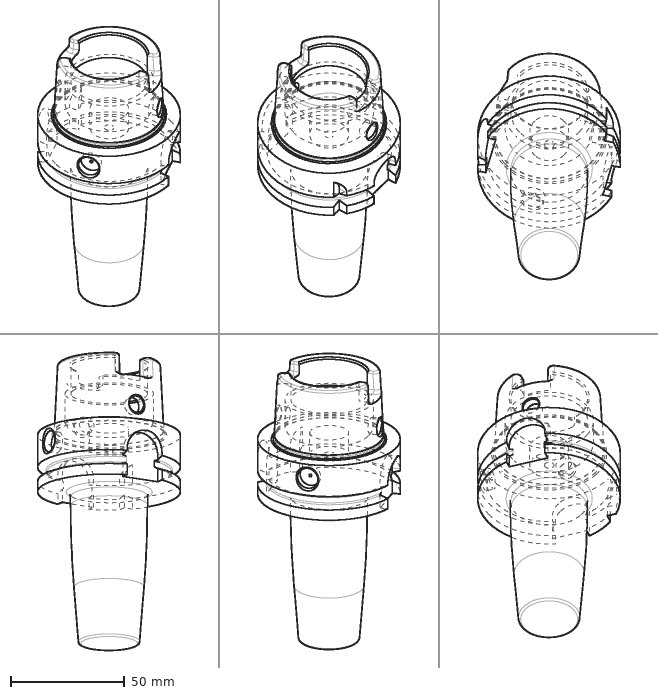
import cadquery as cq
import math

top_z = 31.9
flange_height = 26.0
bottom_z = -95.0

taper_gauge_radius = 24.0
taper_gauge_z = 6.3
taper_slope = 1 / (2 * 9.98)
taper_end_z = 2.0
relief_radius = 24.0
relief_outer_radius = 25.4
relief_fillet = 0.7
relief_floor_z = 0.4
rim_fillet = 1.0

flange_radius = 31.5
groove_center_z = -18.0
groove_radius = 27.5
groove_half_opening = 3.15
groove_half_width = 1.75
groove_fillet = 0.75

nose_radius = 17.0
nose_root_fillet = 2.0
nose_cylinder_end_z = -32.0
nose_cone_start_z = -69.3
nose_tip_radius = 13.5
nose_cone_angle = math.radians(4.5)
nose_tip_fillet = 1.0

bore_radius = 16.9
bore_chamfer = 0.8
undercut_radius = 19.5
undercut_top_z = 18.8
cavity_floor_z = 3.1
cavity_floor_fillet = 3.65
tube_seat_radius = 8.6
tube_seat_depth = 10.0
center_hole_radius = 2.1
center_hole_depth = 2.1

rim_slot_width = 12.5
rim_slot_depths = {-1: 5.8, 1: 10.0}
rim_slot_outer_fillet = 2.5
rim_slot_floor_fillet = 1.5
rim_slot_middle_x = (bore_radius + taper_gauge_radius) / 2

cross_hole_radius = 3.75
cross_hole_z = 8.9
cross_hole_chamfer = 0.7

keyway_width_minus_x = 16.0
keyway_width_plus_x = 18.0
keyway_floor_x = 26.5
keyway_top_z = -4.85
notch_floor_x = 20.15
notch_side_y = 20.05
chip_radius = 4.7
chip_depth = 4.6
chip_z = -7.0
chip_chamfer = 0.95
chip_center_radius = 0.6

match_tolerance = 0.01


def taper_radius(z):
    """Outside radius of the shank at height z."""
    return taper_gauge_radius - (z - taper_gauge_z) * taper_slope


def edges_where(body, condition):
    """Workplane holding the edges of a body whose centroid meets a condition."""
    chosen = [edge for edge in body.edges().vals() if condition(edge.Center())]
    return body.newObject(chosen)


def make_outer_body():
    """Revolved outside of the shank, flange and nose."""
    cone_start_radius = nose_tip_radius + (nose_cone_start_z - bottom_z) * math.tan(nose_cone_angle)
    body = (
        cq.Workplane("XZ")
        .moveTo(0, top_z)
        .lineTo(taper_radius(top_z), top_z)
        .lineTo(taper_radius(taper_end_z), taper_end_z)
        .lineTo(relief_radius, taper_end_z)
        .lineTo(relief_radius, relief_floor_z + relief_fillet)
        .radiusArc((relief_radius + relief_fillet, relief_floor_z), -relief_fillet)
        .lineTo(relief_outer_radius, 0)
        .lineTo(flange_radius, 0)
        .lineTo(flange_radius, groove_center_z + groove_half_opening)
        .lineTo(groove_radius, groove_center_z + groove_half_width)
        .lineTo(groove_radius, groove_center_z - groove_half_width)
        .lineTo(flange_radius, groove_center_z - groove_half_opening)
        .lineTo(flange_radius, -flange_height)
        .lineTo(nose_radius + nose_root_fillet, -flange_height)
        .radiusArc((nose_radius, -flange_height - nose_root_fillet), -nose_root_fillet)
        .lineTo(nose_radius, nose_cylinder_end_z)
        .tangentArcPoint((cone_start_radius, nose_cone_start_z), relative=False)
        .lineTo(nose_tip_radius, bottom_z)
        .lineTo(0, bottom_z)
        .close()
        .revolve(360, (0, 0), (0, 1))
        .rotate((0, 0, 0), (0, 0, 1), 180)
    )
    body = body.faces("<Z").edges().fillet(nose_tip_fillet)

    def is_groove_corner(point):
        return abs(abs(point.z - groove_center_z) - groove_half_width) < match_tolerance

    return edges_where(body, is_groove_corner).fillet(groove_fillet)


def cut_bore(body):
    """Straight cylindrical bore at the open end of the shank."""
    bore = cq.Workplane("XY", origin=(0, 0, undercut_top_z)).circle(bore_radius)
    return body.cut(bore.extrude(top_z - undercut_top_z))


def cut_rim_slots(body):
    """Two drive slots of different depth, with rounded outer corners and floor edges."""
    half_width = rim_slot_width / 2

    def on_wall(point, side):
        on_side = point.x * side > 0 and point.z > undercut_top_z
        return on_side and abs(abs(point.y) - half_width) < match_tolerance

    for side, depth in rim_slot_depths.items():
        floor_z = top_z - depth
        slot_box = cq.Workplane("XY").box(flange_radius, rim_slot_width, depth, centered=(True, True, False))
        body = body.cut(slot_box.translate((side * flange_radius / 2, 0, floor_z)))

        def is_outer_corner(point):
            is_upright = floor_z + match_tolerance < point.z < top_z - match_tolerance
            return on_wall(point, side) and is_upright and abs(point.x) > rim_slot_middle_x

        def is_floor_edge(point):
            return on_wall(point, side) and abs(point.z - floor_z) < match_tolerance

        body = edges_where(body, is_outer_corner).fillet(rim_slot_outer_fillet)
        body = edges_where(body, is_floor_edge).fillet(rim_slot_floor_fillet)
    return body


def finish_rim(body):
    """Chamfered bore mouth, and rounded rim edges everywhere else on the top face."""
    mouth = cq.Solid.makeCone(
        bore_radius, bore_radius + bore_chamfer, bore_chamfer, pnt=cq.Vector(0, 0, top_z - bore_chamfer)
    )
    body = body.cut(cq.Workplane(mouth))

    def is_outside_mouth(point):
        beside_slot = abs(point.y) < rim_slot_width / 2 + rim_fillet
        beyond_mouth = math.hypot(point.x, point.y) > bore_radius + bore_chamfer + match_tolerance
        return point.z > top_z - match_tolerance and (beside_slot or beyond_mouth)

    return edges_where(body, is_outside_mouth).fillet(rim_fillet)


def cut_cavity(body):
    """Wide undercut below the bore, coolant tube seat and drilled center hole."""
    undercut = (
        cq.Workplane("XY", origin=(0, 0, cavity_floor_z))
        .circle(undercut_radius)
        .extrude(undercut_top_z - cavity_floor_z)
        .faces("<Z").edges().fillet(cavity_floor_fillet)
    )
    seat_floor_z = cavity_floor_z - tube_seat_depth
    seat = cq.Workplane("XY", origin=(0, 0, seat_floor_z)).circle(tube_seat_radius).extrude(tube_seat_depth)
    center_point = cq.Solid.makeCone(
        center_hole_radius, 0, center_hole_depth, pnt=cq.Vector(0, 0, seat_floor_z), dir=cq.Vector(0, 0, -1)
    )
    return body.cut(undercut).cut(seat).cut(cq.Workplane(center_point))


def cut_cross_hole(body):
    """Hole along X through both walls of the shank, countersunk outside."""
    countersink_start_x = taper_radius(cross_hole_z) - cross_hole_chamfer
    flare = 2 * cross_hole_chamfer
    half_tool = (
        cq.Workplane("XY")
        .lineTo(0, cross_hole_radius)
        .lineTo(countersink_start_x, cross_hole_radius)
        .lineTo(countersink_start_x + flare, cross_hole_radius + flare)
        .lineTo(countersink_start_x + flare, 0)
        .close()
        .revolve(360, (0, 0), (1, 0))
        .translate((0, 0, cross_hole_z))
    )
    return body.cut(half_tool).cut(half_tool.mirror("YZ"))


def make_keyway(width, floor_x, center_y):
    """Round-topped key cutter that opens through the flange underside toward -X."""
    radius = width / 2
    arch_z = keyway_top_z - radius
    return (
        cq.Workplane("YZ", origin=(-floor_x, 0, 0))
        .moveTo(center_y - radius, -flange_height)
        .lineTo(center_y - radius, arch_z)
        .threePointArc((center_y, keyway_top_z), (center_y + radius, arch_z))
        .lineTo(center_y + radius, -flange_height)
        .close()
        .extrude(-flange_radius)
    )


def cut_keyways(body):
    """Opposite keyways on -X and +X, and the coding notch beside the -X one."""
    narrow_keyway = make_keyway(keyway_width_minus_x, keyway_floor_x, 0)
    wide_keyway = make_keyway(keyway_width_plus_x, keyway_floor_x, 0).mirror("YZ")
    notch = make_keyway(keyway_width_minus_x, notch_floor_x, notch_side_y + keyway_width_minus_x / 2)
    return body.cut(narrow_keyway).cut(wide_keyway).cut(notch)


def cut_chip_hole(body):
    """Blind data chip hole on the -Y side of the flange with a drill point in its floor."""
    hole = cq.Workplane("XZ", origin=(0, -flange_radius, chip_z)).circle(chip_radius).extrude(-chip_depth)
    countersink = cq.Solid.makeCone(
        chip_radius + chip_chamfer,
        chip_radius,
        chip_chamfer,
        pnt=cq.Vector(0, -flange_radius, chip_z),
        dir=cq.Vector(0, 1, 0),
    )
    point = cq.Solid.makeCone(
        chip_center_radius,
        0,
        chip_center_radius,
        pnt=cq.Vector(0, chip_depth - flange_radius, chip_z),
        dir=cq.Vector(0, 1, 0),
    )
    return body.cut(hole).cut(cq.Workplane(countersink)).cut(cq.Workplane(point))


result = cut_bore(make_outer_body())
result = cut_rim_slots(result)
result = finish_rim(result)
result = cut_cavity(result)
result = cut_cross_hole(result)
result = cut_keyways(result)
result = cut_chip_hole(result).solids()